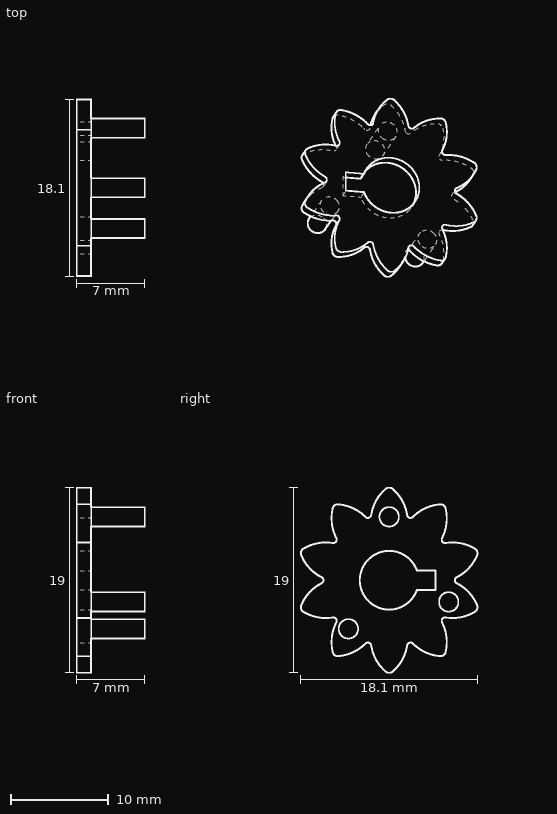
import cadquery as cq
import math

TOOTH_COUNT = 10
TOOTH_PITCH = 360 / TOOTH_COUNT
TIP_RADIUS = 9.5
ROOT_RADIUS = 6.75
PLATE_THICKNESS = 1.5

TIP_EDGE = (0.35, 9.39)
FLANK_MIDDLE = (1.4, 8.05)
FLANK_FOOT = (1.85, 6.76)

BORE_DIAMETER = 6.0
KEYWAY_WIDTH = 2.0
KEYWAY_REACH = 4.73

OVERALL_DEPTH = 7.0
PIN_DIAMETER = 2.0
PIN_LENGTH = OVERALL_DEPTH - PLATE_THICKNESS
PIN_CIRCLE_RADIUS = 6.5
PIN_COUNT = 3
FIRST_PIN_ANGLE = 90.0
PIN_SPACING = -110.0


def polar(radius, angle):
    """Point in the YZ plane, with the angle measured from +Y toward +Z."""
    return radius * math.cos(math.radians(angle)), radius * math.sin(math.radians(angle))


def turned(point, angle):
    """Turn a point of the upright tooth counterclockwise about the plate axis."""
    across, up = point
    radius = math.hypot(across, up)
    return polar(radius, math.degrees(math.atan2(up, across)) + angle)


def mirrored(point):
    """Reflect a point across the centre line of the upright tooth."""
    return -point[0], point[1]


def make_plate():
    outline = cq.Workplane("YZ").moveTo(*FLANK_FOOT)
    for index in range(TOOTH_COUNT):
        angle = index * TOOTH_PITCH
        next_angle = angle + TOOTH_PITCH
        tip = (0, TIP_RADIUS)
        root = (0, ROOT_RADIUS)
        outline = (
            outline
            .threePointArc(turned(FLANK_MIDDLE, angle), turned(TIP_EDGE, angle))
            .threePointArc(turned(tip, angle), turned(mirrored(TIP_EDGE), angle))
            .threePointArc(turned(mirrored(FLANK_MIDDLE), angle), turned(mirrored(FLANK_FOOT), angle))
            .threePointArc(turned(root, angle + TOOTH_PITCH / 2), turned(FLANK_FOOT, next_angle))
        )
    blank = outline.close().extrude(PLATE_THICKNESS)

    bore = cq.Workplane("YZ").circle(BORE_DIAMETER / 2).extrude(PLATE_THICKNESS)
    keyway = (
        cq.Workplane("YZ")
        .center(KEYWAY_REACH / 2, 0)
        .rect(KEYWAY_REACH, KEYWAY_WIDTH)
        .extrude(PLATE_THICKNESS)
    )
    return blank.cut(bore).cut(keyway)


def make_pin(angle):
    return (
        cq.Workplane("YZ", origin=(PLATE_THICKNESS, 0, 0))
        .center(*polar(PIN_CIRCLE_RADIUS, angle))
        .circle(PIN_DIAMETER / 2)
        .extrude(PIN_LENGTH)
    )


plate = make_plate()
pins = [make_pin(FIRST_PIN_ANGLE + index * PIN_SPACING) for index in range(PIN_COUNT)]

result = cq.Compound.makeCompound([plate.val(), *[pin.val() for pin in pins]])